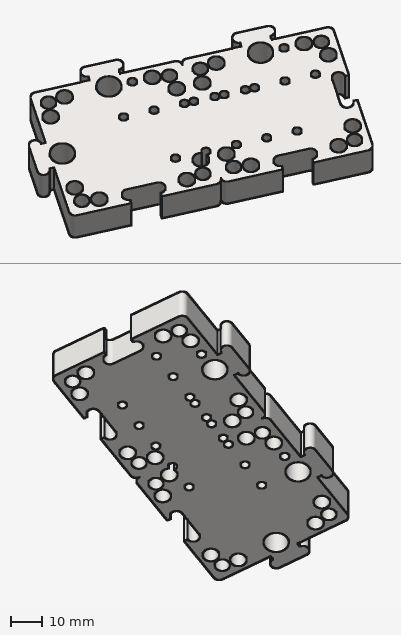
import cadquery as cq

tile_side = 50.0
tile_count = 2
thickness = 12.0
corner_radius = 2.0

neck_width = 10.0
tab_reach = 5.5
tab_bulb_radius = 2.0
slot_clearance = 0.1
slot_depth = tab_reach + slot_clearance
slot_bulb_radius = tab_bulb_radius + slot_clearance

connector_hole_diameter = 8.0
connector_hole_offset = 21.0
side_hole_shift_y = 0.2
end_hole_shift_x = 0.4
corner_hole_diameter = 4.9
corner_hole_offset = 19.9
flank_hole_diameter = 5.3
flank_hole_near = 14.5
flank_hole_far = 20.8
locating_hole_diameter = 3.0
locating_hole_x = -flank_hole_far
locating_hole_y = 7.9

row_hole_diameter = 2.8
row_hole_count = 5
row_pitch = 10.0
left_row_x = -8.2
right_row_x = 11.7
row_centers = [
    (left_row_x, 19.7),
    (left_row_x, -3.4),
    (right_row_x, 8.2),
]

half_side = tile_side / 2
half_length = tile_side * tile_count / 2
tile_centers_y = [(i - (tile_count - 1) / 2) * tile_side for i in range(tile_count)]


def drill(points, diameter):
    """Full-depth cylinders at the given XY points."""
    return cq.Workplane("XY").pushPoints(points).circle(diameter / 2).extrude(thickness)


def tile(center_y):
    """Square tile with rounded vertical corners."""
    block = cq.Workplane("XY").rect(tile_side, tile_side).extrude(thickness)
    return block.edges("|Z").fillet(corner_radius).translate((0, center_y, 0))


def connector(reach, bulb_radius):
    """Connector pointing to -X, with its root on the YZ plane."""
    half_neck = neck_width / 2
    bulb_root = -reach + 2 * bulb_radius
    bulb_center = -reach + bulb_radius
    return (
        cq.Workplane("XY")
        .moveTo(0, -half_neck)
        .lineTo(0, half_neck)
        .lineTo(bulb_root, half_neck)
        .threePointArc((bulb_center, half_neck + bulb_radius), (-reach, half_neck))
        .lineTo(-reach, -half_neck)
        .threePointArc((bulb_center, -half_neck - bulb_radius), (bulb_root, -half_neck))
        .close()
        .extrude(thickness)
    )


def turned_to_minus_y(shape):
    """Turn a connector from -X to -Y."""
    return shape.rotate((0, 0, 0), (0, 0, 1), 90)


def corner_hole_groups(center_y):
    """Three holes in each corner of a tile: one on the diagonal and one on either side of it."""
    signs = [(sx, sy) for sx in (-1, 1) for sy in (-1, 1)]
    diagonal = [(sx * corner_hole_offset, center_y + sy * corner_hole_offset) for sx, sy in signs]
    flanks = [
        (sx * x, center_y + sy * y)
        for sx, sy in signs
        for x, y in ((flank_hole_near, flank_hole_far), (flank_hole_far, flank_hole_near))
    ]
    return drill(diagonal, corner_hole_diameter).union(drill(flanks, flank_hole_diameter))


def row_points(x, center_y):
    """Evenly spaced points along Y, centred on center_y."""
    first_y = center_y - row_pitch * (row_hole_count - 1) / 2
    return [(x, first_y + i * row_pitch) for i in range(row_hole_count)]


tab = connector(tab_reach, tab_bulb_radius)
body = turned_to_minus_y(tab).translate((0, -half_length, 0))
for center_y in tile_centers_y:
    body = body.union(tile(center_y)).union(tab.translate((-half_side, center_y, 0)))

slot = connector(slot_depth, slot_bulb_radius)
body = body.cut(turned_to_minus_y(slot).translate((0, half_length, 0)))
for center_y in tile_centers_y:
    body = body.cut(slot.translate((half_side, center_y, 0)))

for center_y in tile_centers_y:
    body = body.cut(corner_hole_groups(center_y))
    body = body.cut(drill([(locating_hole_x, center_y + locating_hole_y)], locating_hole_diameter))

connector_hole_points = [
    (-connector_hole_offset, center_y + side_hole_shift_y) for center_y in tile_centers_y
]
connector_hole_points.append((end_hole_shift_x, min(tile_centers_y) - connector_hole_offset))
body = body.cut(drill(connector_hole_points, connector_hole_diameter))

for row_x, row_y in row_centers:
    body = body.cut(drill(row_points(row_x, row_y), row_hole_diameter))

result = body